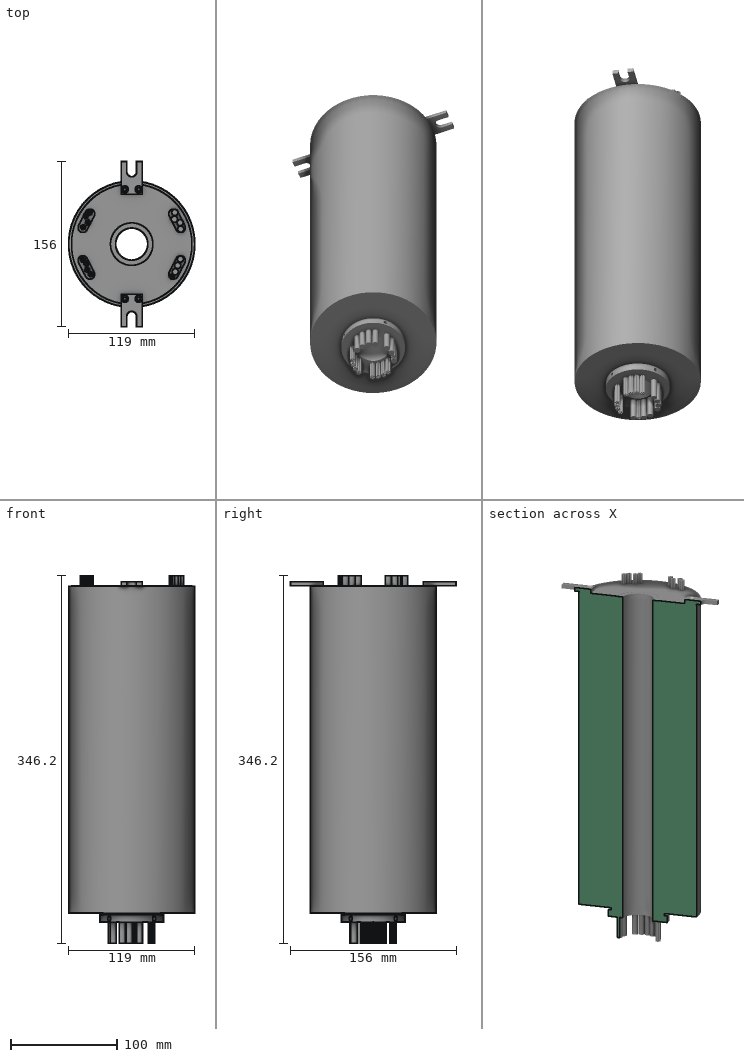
import cadquery as cq
import math

housing_diameter = 119.0
housing_length = 308.0
bore_diameter = 30.0
tube_diameter = 40.0
end_plate_diameter = 113.5
joint_depth = 0.2

neck_diameter = 54.0
neck_length = 1.6
flange_diameter = 60.0
flange_thickness = 7.0
set_screw_diameter = 4.2
set_screw_depth = 6.0
set_screw_angles = (45, 135, 225, 315)

tab_tip_y = 78.0
tab_inner_y = 47.0
tab_width = 20.0
tab_thickness = 4.0
fork_width = 9.0
fork_root_y = 63.5
tab_screw_x = 6.5
tab_screw_y = 51.5
tab_hole_diameter = 3.4
tab_head_diameter = 6.6
countersink_angle = 90

exit_radius = 48.0
exit_angle = 27.2
exit_width = 9.0
exit_length = 23.6

cable_diameter = 5.8
strand_diameter = 1.5
strand_pitch = 1.75
strands_around = 6
bundle_turn = 15.0
upper_cable_length = 9.6
lower_cable_length = 20.0
lower_cable_radius = 19.5
lower_cable_pitch = 18.6
lower_bundle_pitch = 16.0
embed_depth = 1.0

upper_cables = [
    (40.6, 29.8), (40.2, 23.4), (45.6, 20.2), (46.2, 14.1),
    (45.9, -14.1), (43.3, -20.1), (41.0, -26.1),
]

upper_bundles = [
    (37.9, -30.5),
    (-39.4, 29.7), (-43.2, 26.4), (-41.1, 20.4), (-45.8, 15.9),
    (-46.2, -14.6), (-42.7, -18.2), (-41.8, -24.2), (-38.6, -28.3),
]

row_steps = (-1.5, -0.5, 0.5, 1.5)
lower_cable_angles = [180 + lower_cable_pitch * step for step in row_steps] + [243, 263, 292]
lower_bundle_angles = [side + lower_bundle_pitch * step for side in (0, 90) for step in row_steps] + [277]

housing_top = housing_length
flange_top = -neck_length
flange_bottom = flange_top - flange_thickness


def cylinder(diameter, bottom, height, points=((0, 0),)):
    """Upright cylinders of one diameter at the given points."""
    return cq.Workplane("XY").workplane(offset=bottom).pushPoints(points).circle(diameter / 2).extrude(height)


def polar(radius, angle):
    """Point at a radius and an angle in degrees."""
    return (radius * math.cos(math.radians(angle)), radius * math.sin(math.radians(angle)))


def make_housing():
    """Housing, neck and flange, with the through bore and the joint steps on top."""
    body = cylinder(housing_diameter, 0, housing_length)
    body = body.union(cylinder(neck_diameter, flange_top, neck_length))
    body = body.union(cylinder(flange_diameter, flange_bottom, flange_thickness))
    rim = cylinder(housing_diameter, housing_top - joint_depth, joint_depth)
    rim = rim.cut(cylinder(end_plate_diameter, housing_top - joint_depth, joint_depth))
    body = body.cut(rim)
    body = body.cut(cylinder(tube_diameter, housing_top - joint_depth, joint_depth))
    return body.cut(cylinder(bore_diameter, flange_bottom, housing_top - flange_bottom))


def make_set_screw_holes():
    """Blind radial holes around the flange rim."""
    middle = (flange_top + flange_bottom) / 2
    holes = cq.Workplane("XY")
    for angle in set_screw_angles:
        x, y = polar(flange_diameter / 2, angle)
        inward = cq.Vector(-x, -y, 0)
        hole = cq.Solid.makeCylinder(set_screw_diameter / 2, set_screw_depth, cq.Vector(x, y, middle), inward)
        holes = holes.add(hole)
    return holes.combine()


def make_exit_slots():
    """Shallow slots around the upper cables, one in each quadrant."""
    slots = cq.Workplane("XY")
    for angle in (exit_angle, -exit_angle, 180 - exit_angle, 180 + exit_angle):
        slot = (
            cq.Workplane("XY")
            .workplane(offset=housing_top - joint_depth)
            .center(*polar(exit_radius, angle))
            .slot2D(exit_length, exit_width, angle + 90)
            .extrude(joint_depth)
        )
        slots = slots.union(slot)
    return slots


def make_tab():
    """Forked tab on the +Y side with two countersunk screw holes."""
    length = tab_tip_y - tab_inner_y
    plane = cq.Workplane("XY").workplane(offset=housing_top)
    tab = plane.center(0, tab_inner_y + length / 2).rect(tab_width, length).extrude(tab_thickness)
    fork_center_y = fork_root_y + fork_width / 2
    fork = cylinder(fork_width, housing_top, tab_thickness, [(0, fork_center_y)])
    gap_length = tab_tip_y - fork_center_y
    gap = plane.center(0, fork_center_y + gap_length / 2).rect(fork_width, gap_length).extrude(tab_thickness)
    tab = tab.cut(fork).cut(gap)
    return (
        tab.faces(">Z")
        .workplane(origin=(0, 0, housing_top + tab_thickness))
        .pushPoints([(-tab_screw_x, tab_screw_y), (tab_screw_x, tab_screw_y)])
        .cskHole(tab_hole_diameter, tab_head_diameter, countersink_angle)
    )


def bundle_strands(centers):
    """Strand positions of every bundle: one in the middle and a ring around it."""
    points = []
    for x, y in centers:
        points.append((x, y))
        for strand in range(strands_around):
            dx, dy = polar(strand_pitch, bundle_turn + strand * 360 / strands_around)
            points.append((x + dx, y + dy))
    return points


def make_upper_cables():
    """Cables and bundles standing out of the top exits."""
    bottom = housing_top - embed_depth
    height = upper_cable_length + embed_depth
    cables = cylinder(cable_diameter, bottom, height, upper_cables)
    return cables.union(cylinder(strand_diameter, bottom, height, bundle_strands(upper_bundles)))


def make_lower_cables():
    """Cables and bundles hanging from the flange."""
    bottom = flange_bottom - lower_cable_length
    height = lower_cable_length + embed_depth
    cables = [polar(lower_cable_radius, angle) for angle in lower_cable_angles]
    bundles = [polar(lower_cable_radius, angle) for angle in lower_bundle_angles]
    strands = cylinder(strand_diameter, bottom, height, bundle_strands(bundles))
    return cylinder(cable_diameter, bottom, height, cables).union(strands)


tab = make_tab()
result = make_housing().cut(make_set_screw_holes()).cut(make_exit_slots())
result = result.union(tab).union(tab.mirror("XZ"))
result = result.union(make_upper_cables()).union(make_lower_cables())